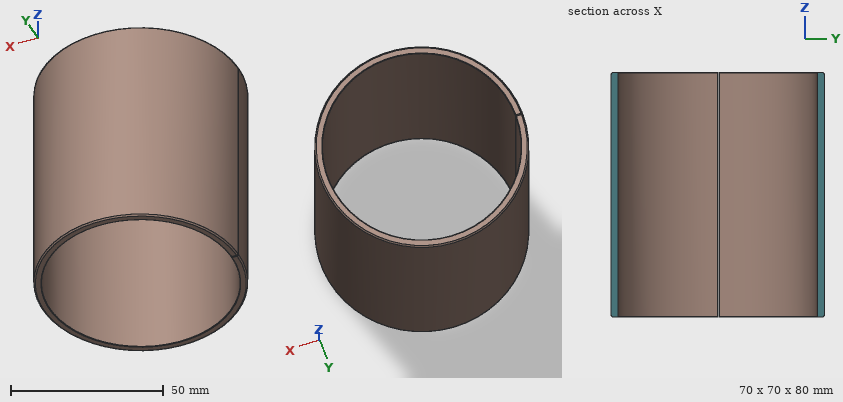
import cadquery as cq

outer_diameter = 70.0
wall_thickness = 2.5
length = 80.0

outer_bevel = 0.5
inner_bevel = 0.2

joint_gap = 0.5

outer_radius = outer_diameter / 2
inner_radius = outer_radius - wall_thickness


def make_sleeve():
    """Revolve the bevelled wall section around the Z axis."""
    wall_section = [
        (-inner_radius - inner_bevel, 0),
        (-outer_radius + outer_bevel, 0),
        (-outer_radius, outer_bevel),
        (-outer_radius, length - outer_bevel),
        (-outer_radius + outer_bevel, length),
        (-inner_radius - inner_bevel, length),
        (-inner_radius, length - inner_bevel),
        (-inner_radius, inner_bevel),
    ]
    return cq.Workplane("XZ").polyline(wall_section).close().revolve(360, (0, 0), (0, 1))


def make_joint_cutter():
    """Thin full-length slab from the sleeve axis out past the -X wall."""
    slab = cq.Workplane("XY").box(outer_diameter, joint_gap, length, centered=(True, False, False))
    return slab.translate((-outer_radius, 0, 0))


result = make_sleeve().cut(make_joint_cutter())